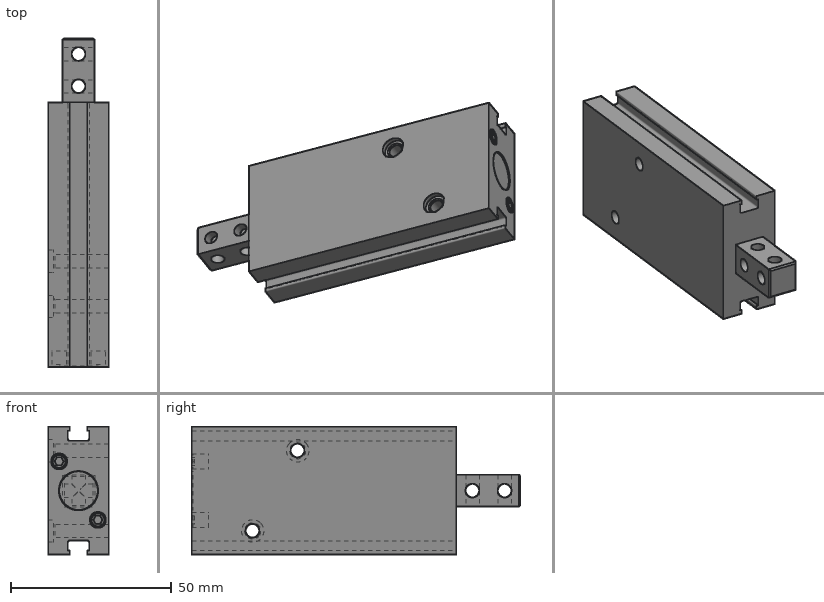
import cadquery as cq
HOUSING_WIDTH = 19.0
HOUSING_LENGTH = 82.5
HOUSING_HEIGHT = 40.0
FINGER_REACH = 20.0
FRONT_Y = -(HOUSING_LENGTH + FINGER_REACH) / 2
BACK_Y = FRONT_Y + HOUSING_LENGTH

SLOT_OPENING = 5.3
SLOT_WIDTH = 6.6
SLOT_LIP = 1.3
SLOT_DEPTH = 4.4
SLOT_LIP_FILLET = 0.3
SLOT_FLOOR_FILLET = 0.5

RECESS_DIAMETER = 12.0
RECESS_DEPTH = 0.4
RECESS_CHAMFER = 0.15

TAPPED_DIAMETER = 4.2
TAPPED_COUNTERSINK = 5.0

PLUG_DIAMETER = 4.6
PLUG_LENGTH = 5.1
PLUG_CHAMFER = 0.3
PLUG_HEX_FLATS = 2.5
PLUG_HEX_DEPTH = 0.8
HEX_TURN = 30
PLUG_X = 6.0
PLUG_Z = 9.1
PLUG_CENTRES = [(-PLUG_X, PLUG_Z), (PLUG_X, -PLUG_Z)]

MOUNT_BORE_DIAMETER = 7.0
MOUNT_BORE_DEPTH = 1.6
MOUNT_Z = 12.5
UPPER_MOUNT_FROM_FRONT = 33.0
LOWER_MOUNT_FROM_FRONT = 19.0
MOUNT_CENTRES = [
    (FRONT_Y + UPPER_MOUNT_FROM_FRONT, MOUNT_Z),
    (FRONT_Y + LOWER_MOUNT_FROM_FRONT, -MOUNT_Z),
]

FINGER_SIDE = 10.0
FINGER_CHAMFER = 0.5
FINGER_HOLE_DIAMETER = 4.2
FINGER_HOLE_FROM_TIP = 4.9
FINGER_HOLE_SPACING = 10.0
FINGER_HOLE_PAIRS = 2


def front_cylinder(x, z, diameter, depth):
    """Cylinder running from the front face into the housing."""
    return cq.Workplane(
        cq.Solid.makeCylinder(diameter / 2, depth, cq.Vector(x, FRONT_Y, z), cq.Vector(0, 1, 0))
    )


def front_cone(x, z, rim_diameter, end_diameter):
    """45-degree cone narrowing from the front face into the housing."""
    depth = (rim_diameter - end_diameter) / 2
    return cq.Workplane(
        cq.Solid.makeCone(
            rim_diameter / 2, end_diameter / 2, depth, cq.Vector(x, FRONT_Y, z), cq.Vector(0, 1, 0)
        )
    )


def t_slot():
    """T-slot cutter for the top face, running the whole housing length."""
    half_opening = SLOT_OPENING / 2
    half_width = SLOT_WIDTH / 2
    top = HOUSING_HEIGHT / 2
    right_side = [
        (half_opening, top),
        (half_opening, top - SLOT_LIP),
        (half_width, top - SLOT_LIP),
        (half_width, top - SLOT_DEPTH),
    ]
    left_side = [(-x, z) for x, z in reversed(right_side)]
    outline = cq.Workplane("XZ", origin=(0, BACK_Y, 0)).polyline(right_side + left_side).close()
    slot = outline.extrude(HOUSING_LENGTH)
    return slot.edges("|Y").edges("<Z").fillet(SLOT_FLOOR_FILLET)


def round_slot_lips(housing):
    """Round the long edges of the lips that narrow both slots to their openings."""
    reach_x = (SLOT_OPENING + SLOT_WIDTH) / 4
    lip_edges = cq.selectors.BoxSelector(
        (-reach_x, FRONT_Y, -HOUSING_HEIGHT),
        (reach_x, BACK_Y, HOUSING_HEIGHT),
    )
    return housing.edges("|Y").edges(lip_edges).fillet(SLOT_LIP_FILLET)


def mounting_hole(y, z):
    """Through hole with a countersunk mouth at the floor of a counterbore in the -X face."""
    countersink_depth = (TAPPED_COUNTERSINK - TAPPED_DIAMETER) / 2
    profile = [
        (0, 0),
        (MOUNT_BORE_DIAMETER / 2, 0),
        (MOUNT_BORE_DIAMETER / 2, MOUNT_BORE_DEPTH),
        (TAPPED_COUNTERSINK / 2, MOUNT_BORE_DEPTH),
        (TAPPED_DIAMETER / 2, MOUNT_BORE_DEPTH + countersink_depth),
        (TAPPED_DIAMETER / 2, HOUSING_WIDTH),
        (0, HOUSING_WIDTH),
    ]
    points = [(depth - HOUSING_WIDTH / 2, y + radius) for radius, depth in profile]
    axis_start = (-HOUSING_WIDTH / 2, y)
    axis_end = (HOUSING_WIDTH / 2, y)
    outline = cq.Workplane("XY", origin=(0, 0, z)).polyline(points).close()
    return outline.revolve(360, axis_start, axis_end)


def make_housing():
    housing = cq.Workplane("XY").box(HOUSING_WIDTH, HOUSING_LENGTH, HOUSING_HEIGHT)
    housing = housing.translate((0, (FRONT_Y + BACK_Y) / 2, 0))

    slot = t_slot()
    housing = housing.cut(slot).cut(slot.mirror("XY"))
    housing = round_slot_lips(housing)

    housing = housing.cut(front_cylinder(0, 0, RECESS_DIAMETER, RECESS_DEPTH))
    housing = housing.cut(front_cone(0, 0, RECESS_DIAMETER + 2 * RECESS_CHAMFER, RECESS_DIAMETER))

    for x, z in PLUG_CENTRES:
        housing = housing.cut(front_cylinder(x, z, PLUG_DIAMETER, PLUG_LENGTH))
        housing = housing.cut(front_cone(x, z, TAPPED_COUNTERSINK, PLUG_DIAMETER))

    for y, z in MOUNT_CENTRES:
        housing = housing.cut(mounting_hole(y, z))
    return housing


def make_plug(x, z):
    """Set screw with a chamfered rim and a hexagon socket, flush with the front face."""
    plug = front_cylinder(x, z, PLUG_DIAMETER, PLUG_LENGTH).faces("<Y").chamfer(PLUG_CHAMFER)
    socket = (
        cq.Workplane("XZ", origin=(x, FRONT_Y, z))
        .transformed(rotate=(0, 0, HEX_TURN))
        .polygon(6, PLUG_HEX_FLATS, circumscribed=True)
        .extrude(-PLUG_HEX_DEPTH)
    )
    return plug.cut(socket)


def make_finger():
    """Square bar with a chamfered tip and crossing pairs of holes along X and Z."""
    tip_y = BACK_Y + FINGER_REACH
    finger = cq.Workplane("XY").box(FINGER_SIDE, FINGER_REACH, FINGER_SIDE)
    finger = finger.translate((0, (BACK_Y + tip_y) / 2, 0)).faces(">Y").chamfer(FINGER_CHAMFER)
    for index in range(FINGER_HOLE_PAIRS):
        hole_y = tip_y - FINGER_HOLE_FROM_TIP - index * FINGER_HOLE_SPACING
        for plane in ("XY", "YZ"):
            hole = (
                cq.Workplane(plane, origin=(0, hole_y, 0))
                .circle(FINGER_HOLE_DIAMETER / 2)
                .extrude(FINGER_SIDE / 2, both=True)
            )
            finger = finger.cut(hole)
    return finger


housing = make_housing()
finger = make_finger()
plugs = [make_plug(x, z) for x, z in PLUG_CENTRES]

result = cq.Compound.makeCompound([housing.val(), finger.val(), *[plug.val() for plug in plugs]])